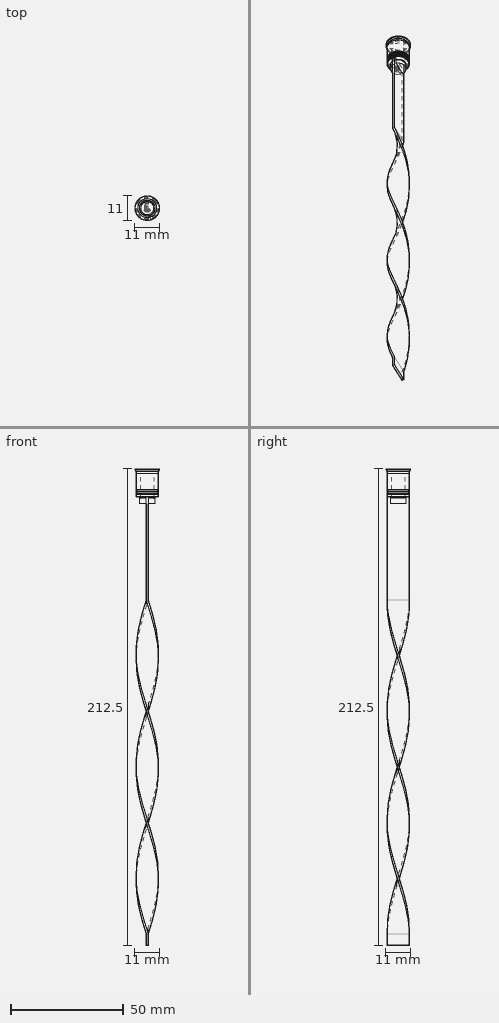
import cadquery as cq


flange_radius = 5.5
flange_thickness = 0.5
lip_radius = 5.0
lip_bottom = -2.0
core_radius = 3.0
foot_radius = 3.5
foot_top = -13.0
foot_bottom = -15.5
recess_radii = (4.2, 3.5, 2.9)
recess_step = 0.15

sleeve_radius = lip_radius
sleeve_bottom = -12.5
bottom_chamfer = 0.3
tooth_count = 4
tooth_pitch = 0.57
tooth_depth = 0.3
teeth_top = -9.2

tape_width = 2 * lip_radius
tape_thickness = 1.0
tape_bottom = -212.5
twist_top = -58.5
lower_end_length = 5.0
twist_bottom = tape_bottom + lower_end_length
half_turns = 3


def tape_section(bottom):
    """Cross-section of the tape at the given level, ready to extrude upwards."""
    return cq.Workplane("XY").workplane(offset=bottom).rect(tape_thickness, tape_width)


def make_cap():
    """Flanged cap with a core through the sleeve and a foot slotted to take the tape."""
    cap = (
        cq.Workplane("XZ")
        .lineTo(flange_radius, 0)
        .lineTo(flange_radius, -flange_thickness)
        .lineTo(lip_radius, -flange_thickness - (flange_radius - lip_radius))
        .lineTo(lip_radius, lip_bottom)
        .lineTo(core_radius, lip_bottom)
        .lineTo(core_radius, foot_top)
        .lineTo(foot_radius, foot_top)
        .lineTo(foot_radius, foot_bottom)
        .lineTo(0, foot_bottom)
        .close()
        .revolve(360, (0, 0, 0), (0, 1, 0))
    )
    for step, radius in enumerate(recess_radii, start=1):
        cap = cap.cut(cq.Workplane("XY").circle(radius).extrude(-step * recess_step))
    slot = tape_section(foot_bottom).extrude(sleeve_bottom - foot_bottom)
    return cap.cut(slot)


def make_sleeve():
    """Sleeve around the core, with a band of sawtooth ridges near its chamfered lower end."""
    outline = (
        cq.Workplane("XZ")
        .moveTo(core_radius, lip_bottom)
        .lineTo(sleeve_radius, lip_bottom)
        .lineTo(sleeve_radius, teeth_top)
    )
    for tooth in range(tooth_count):
        tooth_top = teeth_top - tooth * tooth_pitch
        outline = outline.lineTo(sleeve_radius - tooth_depth, tooth_top)
        outline = outline.lineTo(sleeve_radius, tooth_top - tooth_pitch)
    return (
        outline.lineTo(sleeve_radius, sleeve_bottom + bottom_chamfer)
        .lineTo(sleeve_radius - bottom_chamfer, sleeve_bottom)
        .lineTo(core_radius, sleeve_bottom)
        .close()
        .revolve(360, (0, 0, 0), (0, 1, 0))
    )


def make_tape():
    """Flat strip, twisted along its middle and straight at both ends."""
    twisted = tape_section(twist_bottom).twistExtrude(twist_top - twist_bottom, -180 * half_turns)
    upper_end = tape_section(twist_top).extrude(sleeve_bottom - twist_top)
    lower_end = tape_section(tape_bottom).extrude(twist_bottom - tape_bottom)
    return twisted.union(upper_end).union(lower_end)


cap = make_cap()
sleeve = make_sleeve()
tape = make_tape()

result = cq.Compound.makeCompound([*cap.solids().vals(), *sleeve.solids().vals(), *tape.solids().vals()])